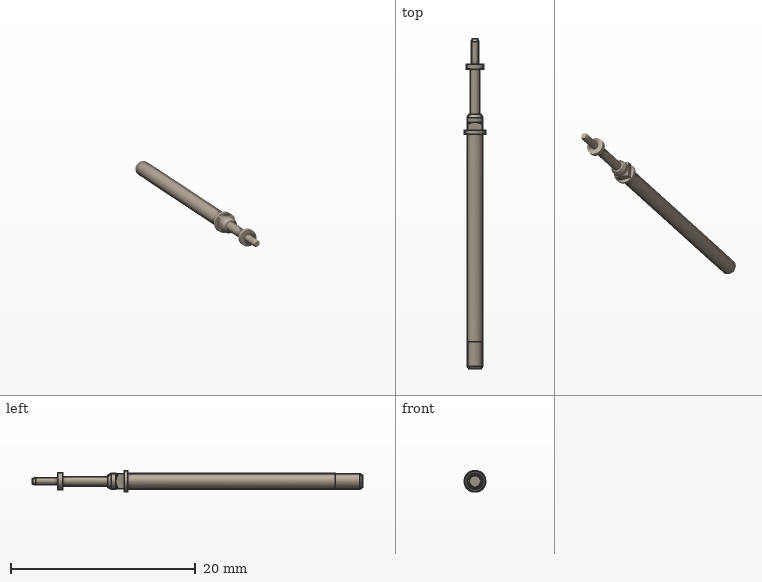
import cadquery as cq


plunger_dia = 0.8
collar_dia = 1.88
neck_dia = 1.04
shoulder_tip_dia = 1.3
body_dia = 1.7
tail_dia = 1.67
flange_dia = 2.3

overall_length = 35.8
plunger_length = 2.75
collar_length = 0.55
neck_length = 4.9
shoulder_cone_length = 0.35
shoulder_length = 0.5
square_length = 0.9
flange_length = 0.4
tail_length = 2.95

tip_chamfer_length = 0.35
tip_chamfer_depth = 0.12
tail_chamfer_length = 0.3
tail_chamfer_depth = 0.2

square_side = 1.65
square_cone_length = 0.22

flange_front = flange_length
square_front = flange_front + square_length
shoulder_front = square_front + shoulder_length
neck_back = shoulder_front + shoulder_cone_length
collar_back = neck_back + neck_length
collar_front = collar_back + collar_length
tip = collar_front + plunger_length
tail_end = tip - overall_length
tail_front = tail_end + tail_length


def rod(dia, start, end):
    """Cylinder about Y between two stations."""
    return frustum(dia, dia, start, end)


def frustum(start_dia, end_dia, start, end):
    """Solid of revolution about Y whose diameter runs straight from start to end."""
    outline = (
        cq.Workplane("XY")
        .moveTo(0, start)
        .lineTo(start_dia / 2, start)
        .lineTo(end_dia / 2, end)
        .lineTo(0, end)
        .close()
    )
    return outline.revolve(360, (0, 0, 0), (0, 1, 0))


def make_plunger():
    """Thin contact pin with a chamfered tip, a collar and the neck behind it."""
    chamfer_start = tip - tip_chamfer_length
    tip_dia = plunger_dia - 2 * tip_chamfer_depth
    return (
        rod(neck_dia, neck_back, collar_back)
        .union(rod(collar_dia, collar_back, collar_front))
        .union(rod(plunger_dia, collar_front, chamfer_start))
        .union(frustum(plunger_dia, tip_dia, chamfer_start, tip))
    )


def make_square():
    """Square drive section, its front corners turned back by a cone."""
    block = cq.Workplane("XY").box(square_side, square_length, square_side)
    block = block.translate((0, flange_front + square_length / 2, 0))
    cone_start = square_front - square_cone_length
    envelope = rod(flange_dia, flange_front, cone_start).union(
        frustum(flange_dia, square_side, cone_start, square_front)
    )
    return block.intersect(envelope)


def make_barrel():
    """Tapered shoulder, square section, flange and the long round body."""
    return (
        rod(body_dia, tail_front, 0)
        .union(rod(flange_dia, 0, flange_front))
        .union(make_square())
        .union(rod(body_dia, square_front, shoulder_front))
        .union(frustum(body_dia, shoulder_tip_dia, shoulder_front, neck_back))
    )


def make_tail():
    """Slightly reduced rear end with a chamfered face."""
    chamfer_start = tail_end + tail_chamfer_length
    end_dia = tail_dia - 2 * tail_chamfer_depth
    return rod(tail_dia, chamfer_start, tail_front).union(
        frustum(end_dia, tail_dia, tail_end, chamfer_start)
    )


result = make_barrel().union(make_plunger()).union(make_tail())